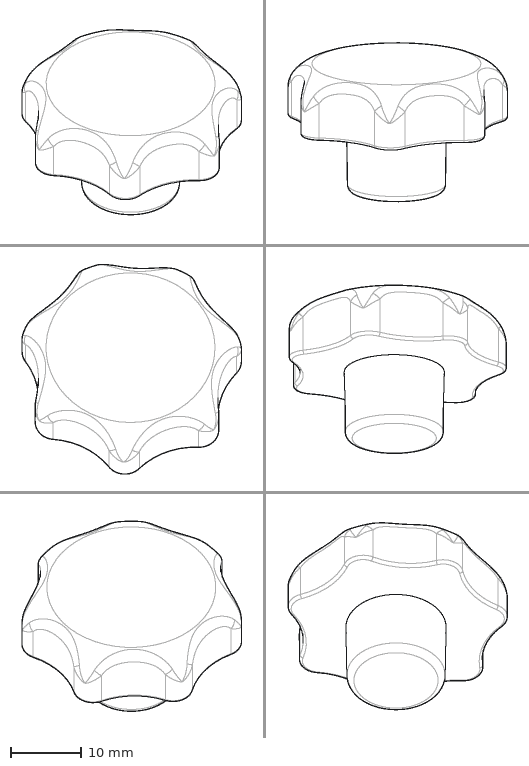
import cadquery as cq
import math

LOBE_COUNT = 7
OVERALL_WIDTH = 31.35
TOTAL_HEIGHT = 20.0
STEM_LENGTH = 10.03
HEAD_HEIGHT = TOTAL_HEIGHT - STEM_LENGTH

NOSE_RADIUS = 2.82
FLUTE_FLOOR_RADIUS = 13.45

DOME_RADIUS = 57.65
SHOULDER_RADIUS = 5.0
FLUTE_EDGE_FILLET = 1.5
UNDERSIDE_FILLET = 0.45
TIP_CLEARANCE = 0.005

STEM_TOP_RADIUS = 7.15
STEM_BOTTOM_RADIUS = 7.0
STEM_FILLET = 1.0

HALF_PITCH = math.pi / LOBE_COUNT
FIRST_NOSE_ANGLE = math.pi
NOSE_CENTRE_RADIUS = (OVERALL_WIDTH / 2 - NOSE_RADIUS) / math.cos(HALF_PITCH / 2)
TIP_RADIUS = NOSE_CENTRE_RADIUS + NOSE_RADIUS

INSET_FLOOR_RADIUS = FLUTE_FLOOR_RADIUS - NOSE_RADIUS
FLUTE_CENTRE_RADIUS = (NOSE_CENTRE_RADIUS**2 - INSET_FLOOR_RADIUS**2) / (
    2 * (NOSE_CENTRE_RADIUS * math.cos(HALF_PITCH) - INSET_FLOOR_RADIUS)
)
FLUTE_RADIUS = FLUTE_CENTRE_RADIUS - FLUTE_FLOOR_RADIUS


def polar(radius, angle):
    return (radius * math.cos(angle), radius * math.sin(angle))


def nose_to_flute_joint():
    """Radius and angle, from a nose's midline, of the point where its arc meets the next flute arc."""
    share = NOSE_RADIUS / (NOSE_RADIUS + FLUTE_RADIUS)
    flute_x, flute_y = polar(FLUTE_CENTRE_RADIUS, HALF_PITCH)
    joint_x = NOSE_CENTRE_RADIUS + share * (flute_x - NOSE_CENTRE_RADIUS)
    joint_y = share * flute_y
    return math.hypot(joint_x, joint_y), math.atan2(joint_y, joint_x)


def lobed_prism():
    """Straight-sided head: noses and flutes joined by tangent arcs."""
    joint_radius, joint_angle = nose_to_flute_joint()
    outline = cq.Workplane("XY", origin=(0, 0, STEM_LENGTH))
    outline = outline.moveTo(*polar(joint_radius, FIRST_NOSE_ANGLE - joint_angle))
    for lobe in range(LOBE_COUNT):
        nose_angle = FIRST_NOSE_ANGLE + 2 * HALF_PITCH * lobe
        flute_angle = nose_angle + HALF_PITCH
        next_nose_angle = nose_angle + 2 * HALF_PITCH
        outline = outline.threePointArc(
            polar(TIP_RADIUS, nose_angle), polar(joint_radius, nose_angle + joint_angle)
        )
        outline = outline.threePointArc(
            polar(FLUTE_FLOOR_RADIUS, flute_angle), polar(joint_radius, next_nose_angle - joint_angle)
        )
    return outline.close().extrude(HEAD_HEIGHT)


def crown():
    """Round envelope of the head: a shallow dome running through a rounded shoulder into a straight side."""
    side_radius = TIP_RADIUS + TIP_CLEARANCE
    dome_centre_z = TOTAL_HEIGHT - DOME_RADIUS

    shoulder_x = side_radius - SHOULDER_RADIUS
    dome_to_shoulder = DOME_RADIUS - SHOULDER_RADIUS
    dome_half_angle = math.asin(shoulder_x / dome_to_shoulder)
    shoulder_z = dome_centre_z + dome_to_shoulder * math.cos(dome_half_angle)

    def dome_point(tilt):
        return (DOME_RADIUS * math.sin(tilt), dome_centre_z + DOME_RADIUS * math.cos(tilt))

    shoulder_tilt = (dome_half_angle + math.pi / 2) / 2
    shoulder_middle = (
        shoulder_x + SHOULDER_RADIUS * math.sin(shoulder_tilt),
        shoulder_z + SHOULDER_RADIUS * math.cos(shoulder_tilt),
    )
    return (
        cq.Workplane("XZ")
        .moveTo(0, STEM_LENGTH)
        .lineTo(side_radius, STEM_LENGTH)
        .lineTo(side_radius, shoulder_z)
        .threePointArc(shoulder_middle, dome_point(dome_half_angle))
        .threePointArc(dome_point(dome_half_angle / 2), (0, TOTAL_HEIGHT))
        .close()
        .revolve(360, (0, 0, 0), (0, 1, 0))
        .rotate((0, 0, 0), (0, 0, 1), math.degrees(HALF_PITCH))
    )


def lobed_head():
    head = lobed_prism().intersect(crown())
    flute_edges = [edge for edge in head.edges().vals() if edge.geomType() == "BSPLINE"]
    head = head.newObject(flute_edges).fillet(FLUTE_EDGE_FILLET)
    return head.faces("<Z").edges().fillet(UNDERSIDE_FILLET)


def tapered_stem():
    return (
        cq.Workplane("XY")
        .circle(STEM_BOTTOM_RADIUS)
        .workplane(offset=STEM_LENGTH)
        .circle(STEM_TOP_RADIUS)
        .loft(ruled=True)
        .faces("<Z")
        .edges()
        .fillet(STEM_FILLET)
    )


knob = lobed_head().union(tapered_stem())

result = cq.Compound.makeCompound([knob.val()])